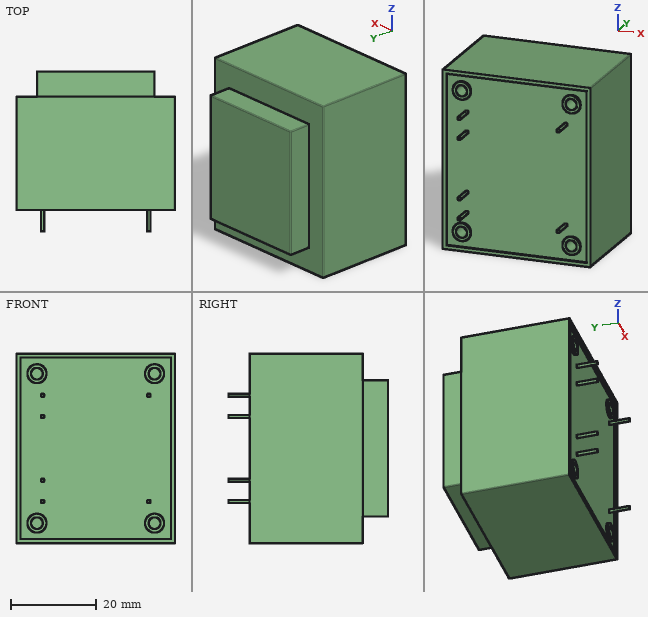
import cadquery as cq

WIDTH = 37.2
HEIGHT = 44.5
DEPTH = 26.6
EDGE_ROUND = 0.2

BLOCK_WIDTH = 27.6
BLOCK_HEIGHT = 32.05
BLOCK_DEPTH = 5.9

RIM = 1.0
RECESS_DEPTH = 0.5

BOSS_DIAMETER = 4.45
BOSS_HOLE_DIAMETER = 2.75
BOSS_HOLE_DEPTH = 5.0
BOSS_SPACING_X = 27.6
BOSS_SPACING_Z = 35.05

PIN_DIAMETER = 0.8
PIN_LENGTH = 5.0
PIN_PITCH = 5.0
PIN_SPACING_X = 5 * PIN_PITCH
OUTER_PIN_Z = 2.5 * PIN_PITCH
INNER_PIN_Z = 1.5 * PIN_PITCH

pin_x = PIN_SPACING_X / 2
pin_places = [
    (-pin_x, OUTER_PIN_Z),
    (-pin_x, INNER_PIN_Z),
    (-pin_x, -INNER_PIN_Z),
    (-pin_x, -OUTER_PIN_Z),
    (pin_x, OUTER_PIN_Z),
    (pin_x, -OUTER_PIN_Z),
]


def slab(width, height, front, depth):
    """Box centred on X and Z that runs from y = front towards +Y."""
    return cq.Workplane("XY").box(width, depth, height).translate((0, front + depth / 2, 0))


def bars(places, diameter, front, depth):
    """Round bars along Y that start at y = front, one at each (x, z) place."""
    return cq.Workplane("XZ", origin=(0, front, 0)).pushPoints(places).circle(diameter / 2).extrude(-depth)


def make_housing():
    body = slab(WIDTH, HEIGHT, 0, DEPTH).edges(">Y or |Y").fillet(EDGE_ROUND)
    block = slab(BLOCK_WIDTH, BLOCK_HEIGHT, DEPTH, BLOCK_DEPTH).edges(">Y or |Y").fillet(EDGE_ROUND)
    recess = slab(WIDTH - 2 * RIM, HEIGHT - 2 * RIM, 0, RECESS_DEPTH)

    boss_places = [
        (side * BOSS_SPACING_X / 2, level * BOSS_SPACING_Z / 2)
        for side in (-1, 1)
        for level in (-1, 1)
    ]
    bosses = bars(boss_places, BOSS_DIAMETER, 0, RECESS_DEPTH)
    holes = bars(boss_places, BOSS_HOLE_DIAMETER, 0, BOSS_HOLE_DEPTH)

    return body.union(block).cut(recess).union(bosses).cut(holes)


def make_pin(place):
    """Pin that runs forward from the plane of the rim, clear of the recess floor."""
    return bars([place], PIN_DIAMETER, -PIN_LENGTH, PIN_LENGTH)


housing = make_housing()
pins = [make_pin(place) for place in pin_places]

result = cq.Compound.makeCompound([housing.val(), *[pin.val() for pin in pins]])